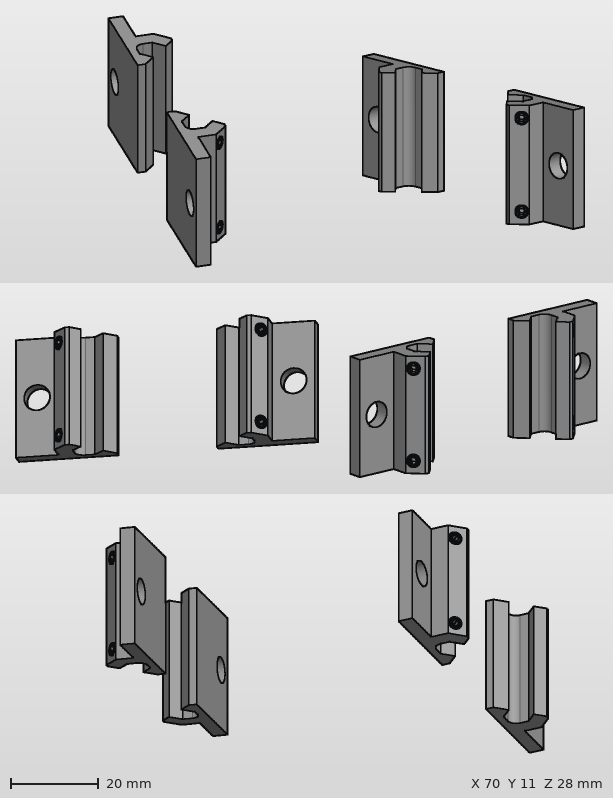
import cadquery as cq
import math

OVERALL_LENGTH = 70.0
HEIGHT = 28.0
DEPTH = 11.0

PLATE_LENGTH = OVERALL_LENGTH / 3
PLATE_THICKNESS = 3.5
MOUNT_HOLE_DIAMETER = 6.0
MOUNT_HOLE_INSET = 5.0

HOOK_OFFSET = 10.0
HOOK_WALL_HEIGHT = 7.8
CHANNEL_WALL = 13.9
CHANNEL_FLOOR = 2.0
CHANNEL_RADIUS = 2.0
CHANNEL_SIDE = 2.25
LIP_HEIGHT = 1.9

SCREW_DIAMETER = 3.0
SCREW_FACE_DIAMETER = 2.4
SCREW_CHAMFER_DEPTH = 0.3
SOCKET_FLATS = 1.5
SOCKET_DEPTH = 2.0
SCREW_INSET = 3.0
SCREW_CENTER_Y = 9.0


def clamp_profile():
    """Section of the left clamp, with its plate end at x = 0 and its back at y = 0."""
    mouth_sum = PLATE_LENGTH + LIP_HEIGHT
    wall_top = CHANNEL_FLOOR + CHANNEL_RADIUS + CHANNEL_SIDE
    floor_end = CHANNEL_WALL + CHANNEL_RADIUS + CHANNEL_SIDE
    upper_jaw = (mouth_sum - (CHANNEL_WALL - wall_top)) / 2
    lower_jaw = (mouth_sum - (floor_end - CHANNEL_FLOOR)) / 2
    arc_center = (CHANNEL_WALL + CHANNEL_RADIUS, CHANNEL_FLOOR + CHANNEL_RADIUS)
    arc_offset = CHANNEL_RADIUS * math.sqrt(0.5)
    return (
        cq.Workplane("XY")
        .moveTo(0, 0)
        .lineTo(PLATE_LENGTH, 0)
        .lineTo(PLATE_LENGTH, LIP_HEIGHT)
        .lineTo(mouth_sum - lower_jaw, lower_jaw)
        .lineTo(floor_end, CHANNEL_FLOOR)
        .lineTo(arc_center[0], CHANNEL_FLOOR)
        .threePointArc(
            (arc_center[0] - arc_offset, arc_center[1] - arc_offset),
            (CHANNEL_WALL, arc_center[1]),
        )
        .lineTo(CHANNEL_WALL, wall_top)
        .lineTo(mouth_sum - upper_jaw, upper_jaw)
        .lineTo(mouth_sum - DEPTH, DEPTH)
        .lineTo(HOOK_OFFSET + DEPTH - HOOK_WALL_HEIGHT, DEPTH)
        .lineTo(HOOK_OFFSET, HOOK_WALL_HEIGHT)
        .lineTo(HOOK_OFFSET, PLATE_THICKNESS)
        .lineTo(0, PLATE_THICKNESS)
        .close()
    )


def mount_hole():
    """Bolt hole through the plate, at mid height."""
    return cq.Workplane(
        cq.Plane(origin=(MOUNT_HOLE_INSET, 0, HEIGHT / 2), xDir=(1, 0, 0), normal=(0, 1, 0))
    ).circle(MOUNT_HOLE_DIAMETER / 2).extrude(PLATE_THICKNESS)


def screw_recess(z):
    """Hex socket and the ring-shaped groove around the chamfered end of a set screw."""
    center = cq.Vector(HOOK_OFFSET + SCREW_CENTER_Y - HOOK_WALL_HEIGHT, SCREW_CENTER_Y, z)
    slope_plane = cq.Plane(origin=center, xDir=(1, 1, 0), normal=(-1, 1, 0))
    slope = cq.Workplane(slope_plane)
    socket_corners = SOCKET_FLATS / math.cos(math.pi / 6)
    socket = slope.polygon(6, socket_corners).extrude(-SOCKET_DEPTH)
    bore = slope.circle(SCREW_DIAMETER / 2).extrude(-SCREW_CHAMFER_DEPTH)
    screw_end = cq.Solid.makeCone(
        SCREW_FACE_DIAMETER / 2, SCREW_DIAMETER / 2, SCREW_CHAMFER_DEPTH, center, -slope_plane.zDir
    )
    return bore.cut(cq.Workplane(screw_end)).union(socket)


def clamp():
    """Left clamp, standing at one end of the assembly."""
    body = clamp_profile().extrude(HEIGHT).cut(mount_hole())
    for z in (SCREW_INSET, HEIGHT - SCREW_INSET):
        body = body.cut(screw_recess(z))
    return body.translate((-OVERALL_LENGTH / 2, 0, 0))


left_clamp = clamp()
right_clamp = left_clamp.mirror("YZ")

result = cq.Compound.makeCompound([left_clamp.val(), right_clamp.val()])